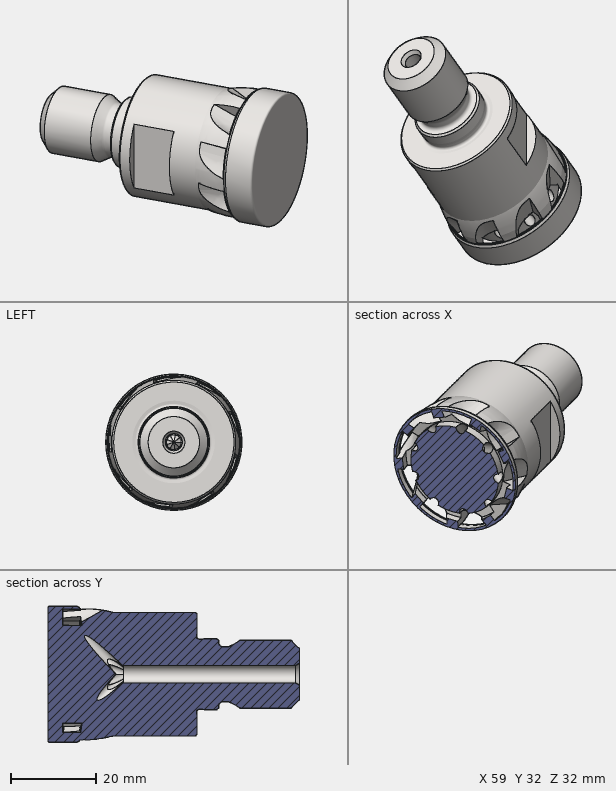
import cadquery as cq
import math

LENGTH = 59.0

nose_radius = 8.0
nose_chamfer = 2.0
nose_end_x = 13.9
groove_radius = 6.5
groove_cone_end_x = 16.2
groove_cone_end_radius = 6.65
groove_start_x = 16.8
groove_flat_end_x = 18.0
groove_end_x = 18.95
groove_blend_radius = 1.05
groove_fillet = groove_end_x - groove_flat_end_x
land_radius = 8.4
land_chamfer = 0.5
land_end_x = 22.05

undercut_radius = 8.25
undercut_start_x = 22.9
undercut_arc_x = 23.5
undercut_fillet = 0.65
undercut_mouth_radius = 9.7

shoulder_x = 24.0
body_radius = 14.5
body_chamfer = 0.4
flare_start_x = 43.7
flare_end_x = 49.4
flare_radius = 15.45
flare_arc_radius = 35.4

collar_x = 51.55
collar_radius = 16.0
collar_chamfer = 0.35
collar_chamfer_length = 0.65
collar_round = 0.5

flats_across = 24.0
flat_start_x = 26.9
flat_end_x = 37.1

bore_radius = 2.0
bore_mouth_radius = 2.6
bore_countersink_depth = 1.0

SCOOP_COUNT = 9
scoop_wall_angle = -11.0
scoop_floor_tilt = 4.0
scoop_start_x = 44.7
scoop_start_radius = 14.6
scoop_open_end_x = 51.35
scoop_roof_radius = 15.2
scoop_end_x = 55.45
scoop_floor_width = 2.05
scoop_side_radius = 6.2
scoop_dive_angle = 24.0
scoop_skew_angle = 6.0
scoop_lead_in = 0.6
scoop_headroom = 5.3

cavity_inner_radius = 11.5
cavity_outer_radius = 13.6
cavity_start_x = 51.05
cavity_end_x = scoop_end_x

channel_diameter = 2.5
channel_angle = 45.0
channel_mouth_x = 52.75
channel_overrun = 1.5
channel_offset_angle = 11.0
channel_origin_x = channel_mouth_x - cavity_inner_radius / math.tan(math.radians(channel_angle))


def revolve_about_x(outline):
    return outline.close().revolve(360, (0, 0, 0), (1, 0, 0))


def make_body():
    """Turned outline, in X and radius, revolved about X."""
    diagonal = math.sqrt(0.5)
    outline = (
        cq.Workplane("XY")
        .lineTo(0, nose_radius - nose_chamfer)
        .lineTo(nose_chamfer, nose_radius)
        .lineTo(nose_end_x, nose_radius)
        .lineTo(groove_cone_end_x, groove_cone_end_radius)
        .radiusArc((groove_start_x, groove_radius), -groove_blend_radius)
        .lineTo(groove_flat_end_x, groove_radius)
        .radiusArc((groove_end_x, groove_radius + groove_fillet), -groove_fillet)
        .lineTo(groove_end_x, land_radius - land_chamfer)
        .lineTo(groove_end_x + land_chamfer, land_radius)
        .lineTo(land_end_x, land_radius)
        .lineTo(undercut_start_x, undercut_radius)
        .lineTo(undercut_arc_x, undercut_radius)
        .radiusArc((undercut_arc_x + undercut_fillet, undercut_radius + undercut_fillet), -undercut_fillet)
        .lineTo(shoulder_x, undercut_mouth_radius)
        .lineTo(shoulder_x, body_radius - body_chamfer)
        .lineTo(shoulder_x + body_chamfer, body_radius)
        .lineTo(flare_start_x, body_radius)
        .radiusArc((flare_end_x, flare_radius), flare_arc_radius)
        .lineTo(collar_x, flare_radius)
        .lineTo(collar_x, collar_radius - collar_chamfer)
        .lineTo(collar_x + collar_chamfer_length, collar_radius)
        .lineTo(LENGTH - collar_round, collar_radius)
        .threePointArc(
            (LENGTH - collar_round * (1 - diagonal), collar_radius - collar_round * (1 - diagonal)),
            (LENGTH, collar_radius - collar_round),
        )
        .lineTo(LENGTH, 0)
    )
    return revolve_about_x(outline)


def make_bore():
    """Countersunk bore along X."""
    outline = (
        cq.Workplane("XY")
        .lineTo(0, bore_mouth_radius)
        .lineTo(bore_countersink_depth, bore_radius)
        .lineTo(channel_origin_x, bore_radius)
        .lineTo(channel_origin_x, 0)
    )
    return revolve_about_x(outline)


def make_flat(side):
    """Block that cuts one wrench flat; side is +1 or -1 along Y."""
    block_depth = collar_radius
    block = cq.Workplane("XY").box(flat_end_x - flat_start_x, block_depth, 2 * body_radius)
    return block.translate(((flat_start_x + flat_end_x) / 2, side * (flats_across + block_depth) / 2, 0))


def make_scoop():
    """Scoop cutter with its floor normal along -Y and its wall towards +Z."""
    inward = math.tan(math.radians(scoop_dive_angle))
    sideways = math.tan(math.radians(scoop_skew_angle))
    wall_z = scoop_start_radius * math.sin(math.radians(scoop_floor_tilt))
    side_z = wall_z - scoop_floor_width
    side_run = math.sqrt(scoop_side_radius**2 - (scoop_side_radius - scoop_headroom)**2)
    floor_y = -scoop_start_radius
    top_y = floor_y - scoop_headroom
    wall_top_z = wall_z + scoop_headroom * math.tan(math.radians(scoop_floor_tilt))
    profile = (
        cq.Workplane("YZ")
        .moveTo(top_y, wall_top_z)
        .lineTo(floor_y, wall_z)
        .lineTo(floor_y, side_z)
        .radiusArc((top_y, side_z - side_run), scoop_side_radius)
        .close()
        .val()
    )
    start = cq.Vector(-scoop_lead_in, -scoop_lead_in * inward, scoop_lead_in * sideways)
    run = scoop_end_x - scoop_start_x + scoop_lead_in
    path = cq.Vector(run, run * inward, -run * sideways)
    prism = cq.Solid.extrudeLinear(profile.moved(cq.Location(start)), [], path)
    core = cq.Workplane("YZ").circle(cavity_inner_radius).extrude(LENGTH)
    roof = (
        cq.Workplane("YZ", origin=(scoop_open_end_x, 0, 0))
        .circle(2 * collar_radius)
        .circle(scoop_roof_radius)
        .extrude(LENGTH - scoop_open_end_x)
    )
    cutter = cq.Workplane(prism).translate((scoop_start_x, 0, 0)).cut(roof).cut(core)
    return cutter.rotate((0, 0, 0), (1, 0, 0), scoop_floor_tilt - scoop_wall_angle)


def make_cavity():
    outline = (
        cq.Workplane("XY")
        .moveTo(cavity_start_x, cavity_inner_radius)
        .lineTo(scoop_open_end_x, cavity_outer_radius)
        .lineTo(cavity_end_x, cavity_outer_radius)
        .lineTo(cavity_end_x, cavity_inner_radius)
    )
    return revolve_about_x(outline)


def make_channel():
    """Round channel that climbs from the X axis to the floor of the first scoop."""
    slope = math.radians(channel_angle)
    length = cavity_inner_radius / math.sin(slope) + channel_overrun
    channel = cq.Solid.makeCylinder(
        channel_diameter / 2,
        length,
        cq.Vector(channel_origin_x, 0, 0),
        cq.Vector(math.cos(slope), -math.sin(slope), 0),
    )
    return cq.Workplane(channel).rotate((0, 0, 0), (1, 0, 0), channel_offset_angle - scoop_wall_angle)


result = make_body().cut(make_bore())
for side in (1, -1):
    result = result.cut(make_flat(side))

result = result.cut(make_cavity())
scoop = make_scoop()
channel = make_channel()
for index in range(SCOOP_COUNT):
    turn = index * 360 / SCOOP_COUNT
    result = result.cut(scoop.rotate((0, 0, 0), (1, 0, 0), turn))
    result = result.cut(channel.rotate((0, 0, 0), (1, 0, 0), turn))